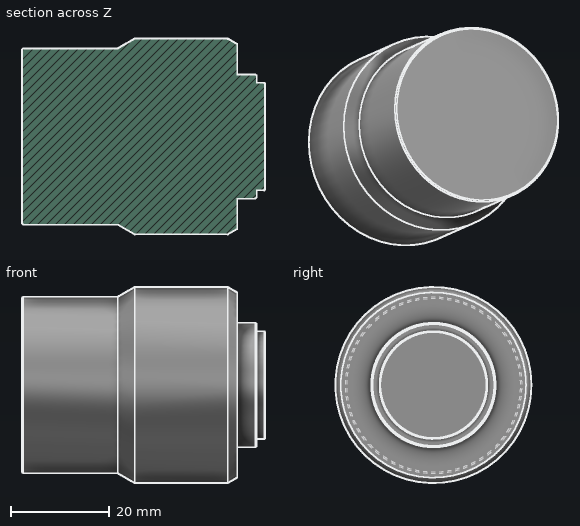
import cadquery as cq
import math

cone_end = 23.0
rear_face = 43.9
flange_length = 4.0
spigot_length = 1.7

barrel_diameter = 36.0
body_diameter = 40.0
flange_diameter = 25.4
spigot_diameter = 22.0

cone_angle = 30.0
rear_chamfer_length = 1.95
barrel_edge_break = 0.3
flange_edge_break = 0.3
spigot_edge_break = 0.2

barrel_radius = barrel_diameter / 2
body_radius = body_diameter / 2
flange_radius = flange_diameter / 2
spigot_radius = spigot_diameter / 2

cone_slope = math.tan(math.radians(cone_angle))
cone_start = cone_end - (body_radius - barrel_radius) / cone_slope
rear_chamfer_start = rear_face - rear_chamfer_length
rear_face_radius = body_radius - rear_chamfer_length * cone_slope

flange_end = rear_face + flange_length
spigot_end = flange_end + spigot_length


def turned_body():
    """Revolve the stepped half profile, drawn as (X, radius), about the X axis."""
    profile = [
        (0, 0),
        (0, barrel_radius - barrel_edge_break),
        (barrel_edge_break, barrel_radius),
        (cone_start, barrel_radius),
        (cone_end, body_radius),
        (rear_chamfer_start, body_radius),
        (rear_face, rear_face_radius),
        (rear_face, flange_radius),
        (flange_end - flange_edge_break, flange_radius),
        (flange_end, flange_radius - flange_edge_break),
        (flange_end, spigot_radius),
        (spigot_end - spigot_edge_break, spigot_radius),
        (spigot_end, spigot_radius - spigot_edge_break),
        (spigot_end, 0),
    ]
    half_profile = cq.Workplane("XY").polyline(profile).close()
    return half_profile.revolve(360, (0, 0, 0), (1, 0, 0))


result = turned_body()